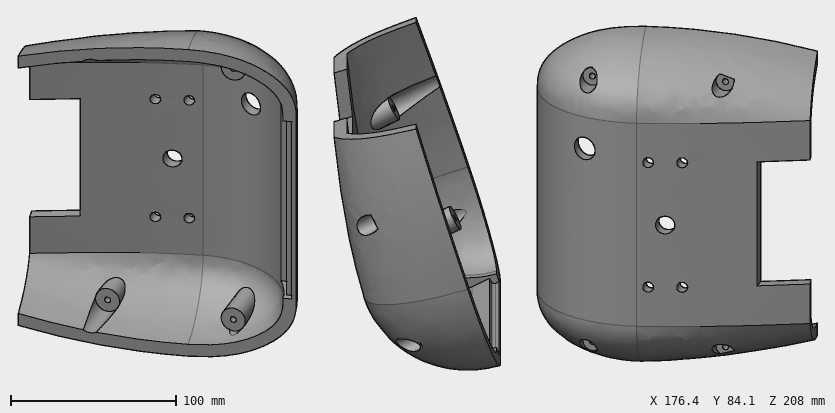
import cadquery as cq
import math

TILT = 10.0
WALL = 8.1
ROUND_CENTER = 104.0
NOSE_RADIUS = 66.0
HALF_HEIGHT = 104.0
FLAT_HALF = 65.0
INNER_FLAT_HALF = 64.5
END_DEPTH_DROP = 14.0
END_HEIGHT_DROP = 12.7
DEPTH_POWER = 1.6
HEIGHT_POWER = 2.0
END_FLATTENING = 0.34
NOSE_FULLNESS = 0.04
SECTION_COUNT = 4
CORNER_STEPS = 4

HEAD_SEAT_Y = {53.0: 50.8, 133.3: 62.0}
BOSS_HALF_Z = 85.0
BOSS_POSITIONS = [(x, z) for x in HEAD_SEAT_Y for z in (-BOSS_HALF_Z, BOSS_HALF_Z)]
BOSS_RADIUS = 7.7
BOSS_FACE_Y = 38.0
SCREW_RADIUS = 1.9
HEAD_RADIUS = 5.8

MOUNT_X = 83.2
MOUNT_SPACING_X = 20.0
MOUNT_HALF_Z = 40.0
MOUNT_RADIUS = 3.1
CENTER_HOLE_RADIUS = 5.6
CABLE_X = 133.3
CABLE_Z = 45.0
CABLE_RADIUS = 7.0

NOTCH_X = 30.0
NOTCH_HALF_Z = 39.7

RECESS_HALF_Z = 60.1
RECESS_START_X = 145.5
DEEP_RECESS_X = 169.0
DEEP_RECESS_Y = 50.1
DEEP_RECESS_FILLET = 5.0
LIP_RECESS_X = 173.7
LIP_RECESS_Y = 33.3
LIP_RECESS_FILLET = 1.9

REACH = 124.8
END_DEPTH = NOSE_RADIUS - END_DEPTH_DROP
END_SHIFT = END_DEPTH * math.sin(math.radians(TILT))


def corner_points(depth, flat, half, flattening):
    """Quarter ellipse from back to mouth, leaning to its chord, or swelling if negative."""
    points = []
    for step in range(CORNER_STEPS + 1):
        angle = math.pi / 2 * step / CORNER_STEPS
        across, deep = math.sin(angle), math.cos(angle)
        chord = across / (across + deep)
        across += flattening * (chord - across)
        deep += flattening * (1 - chord - deep)
        points.append((depth * deep, flat + (half - flat) * across))
    return points


def section(x, inset, flat):
    """Closed cross-section of the shell body at a given X."""
    away = 1 - x / ROUND_CENTER
    depth = NOSE_RADIUS - inset - END_DEPTH_DROP * away ** DEPTH_POWER
    half = HALF_HEIGHT - inset - END_HEIGHT_DROP * away ** HEIGHT_POWER
    flattening = END_FLATTENING * away - NOSE_FULLNESS * (1 - away)
    upper = corner_points(depth, flat, half, flattening)
    lower = [(y, -z) for y, z in reversed(upper)]
    return (
        cq.Workplane("YZ", origin=(x, 0, 0))
        .moveTo(*upper[0])
        .spline(upper[1:], includeCurrent=True)
        .lineTo(*lower[0])
        .spline(lower[1:], includeCurrent=True)
        .close()
    )


def body(inset, flat):
    """Solid body: lofted open end joined to a revolved round nose."""
    stations = [ROUND_CENTER * i / (SECTION_COUNT - 1) for i in range(SECTION_COUNT)]
    wires = [section(x, inset, flat).val() for x in stations]
    tail = cq.Workplane(cq.Solid.makeLoft(wires))
    nose = section(ROUND_CENTER, inset, flat).revolve(90, (0, 0, 0), (0, -1, 0))
    return tail.union(nose)


def place(shape):
    """Tilt the body and bring its leftmost edge to X = 0."""
    return shape.rotate((0, 0, 0), (0, 0, 1), TILT).translate((END_SHIFT, 0, 0))


def rod(x, z, radius, start_y, end_y):
    """Cylinder along Y."""
    return cq.Workplane(cq.Solid.makeCylinder(
        radius, end_y - start_y, cq.Vector(x, start_y, z), cq.Vector(0, 1, 0)))


def recess(end_x, end_y, fillet):
    """Block cut into the nose wall from the mouth, with one rounded inner corner."""
    return (
        cq.Workplane("XY")
        .box(end_x - RECESS_START_X, end_y, 2 * RECESS_HALF_Z, centered=(False, False, True))
        .translate((RECESS_START_X, 0, 0))
        .edges("|Z and >X and >Y")
        .fillet(fillet)
    )


outer = place(body(0, FLAT_HALF))
result = outer.cut(place(body(WALL, INNER_FLAT_HALF)))

for x, z in BOSS_POSITIONS:
    boss = rod(x, z, BOSS_RADIUS, BOSS_FACE_Y, REACH).intersect(outer)
    result = result.union(boss)
    result = result.cut(rod(x, z, BOSS_RADIUS, 0, BOSS_FACE_Y))
    result = result.cut(rod(x, z, SCREW_RADIUS, 0, REACH))
    result = result.cut(rod(x, z, HEAD_RADIUS, HEAD_SEAT_Y[x], REACH))

for side_x in (-1, 1):
    for side_z in (-1, 1):
        hole_x = MOUNT_X + side_x * MOUNT_SPACING_X / 2
        result = result.cut(rod(hole_x, side_z * MOUNT_HALF_Z, MOUNT_RADIUS, 0, REACH))
result = result.cut(rod(MOUNT_X, 0, CENTER_HOLE_RADIUS, 0, REACH))
result = result.cut(rod(CABLE_X, CABLE_Z, CABLE_RADIUS, 0, REACH))

notch = cq.Workplane("XY").box(2 * NOTCH_X, REACH, 2 * NOTCH_HALF_Z, centered=(True, False, True))
result = result.cut(notch)

result = result.cut(recess(DEEP_RECESS_X, DEEP_RECESS_Y, DEEP_RECESS_FILLET))
result = result.cut(recess(LIP_RECESS_X, LIP_RECESS_Y, LIP_RECESS_FILLET))